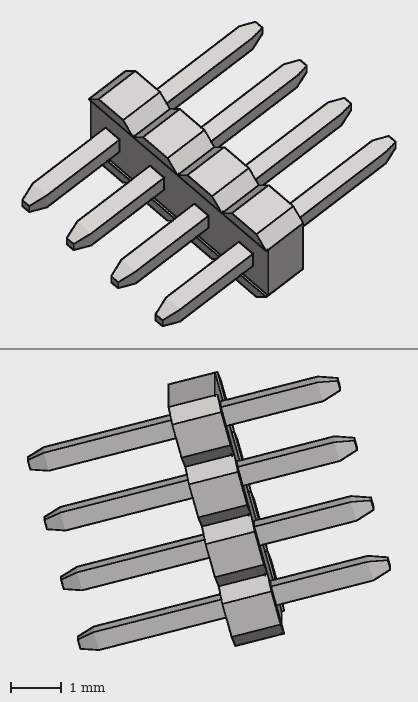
import cadquery as cq

pin_count = 4
housing_length = 5.08
housing_height = 2.1
housing_depth = 0.995
pitch = housing_length / pin_count

cell_bevel = 0.285
front_recess = 0.05

pin_length = 6.3
pin_front_reach = 2.3
pin_front_width = 0.405
pin_rear_width = 0.385
tip_width = 0.2
front_tip_length = 0.38
rear_tip_length = 0.35

recess_y = front_recess
front_tip_y = -pin_front_reach
front_shoulder_y = front_tip_y + front_tip_length
rear_tip_y = front_tip_y + pin_length
rear_shoulder_y = rear_tip_y - rear_tip_length

band_height = housing_height - 2 * cell_bevel
pin_xs = [(i - (pin_count - 1) / 2) * pitch for i in range(pin_count)]


def square_section(x, y, width):
    """Square of the given width, normal to Y, centred on a pin axis."""
    return cq.Workplane("XZ", origin=(x, y, 0)).rect(width, width)


def square_bar(x, start_y, end_y, width):
    """Straight square bar between two Y positions."""
    return square_section(x, start_y, width).extrude(start_y - end_y)


def square_taper(x, start_y, end_y, start_width, end_width):
    """Square frustum between two Y positions."""
    return (
        square_section(x, start_y, start_width)
        .workplane(offset=start_y - end_y)
        .rect(end_width, end_width)
        .loft(ruled=True)
    )


def make_pin(x):
    """Square pin with tapered tips; its front part is slightly wider than its rear part."""
    front_tip = square_taper(x, front_tip_y, front_shoulder_y, tip_width, pin_front_width)
    front_bar = square_bar(x, front_shoulder_y, recess_y, pin_front_width)
    rear_bar = square_bar(x, recess_y, rear_shoulder_y, pin_rear_width)
    rear_tip = square_taper(x, rear_shoulder_y, rear_tip_y, pin_rear_width, tip_width)
    return front_tip.union(front_bar).union(rear_bar).union(rear_tip)


def bevelled_rims():
    """Trapezoidal rims above and below the middle band, one pair for each cell."""
    base = pitch / 2
    crest = base - cell_bevel
    inner_z = band_height / 2
    outer_z = housing_height / 2
    rims = []
    for x in pin_xs:
        for side in (1, -1):
            outline = [
                (x - base, side * inner_z),
                (x - crest, side * outer_z),
                (x + crest, side * outer_z),
                (x + base, side * inner_z),
            ]
            rims.append(cq.Workplane("XZ").polyline(outline).close().extrude(-housing_depth))
    return rims


def make_housing(pins):
    """Middle band with bevelled rims, pierced by a fitted hole for each pin."""
    housing = (
        cq.Workplane("XZ", origin=(0, recess_y, 0))
        .rect(housing_length, band_height)
        .extrude(recess_y - housing_depth)
    )
    for rim in bevelled_rims():
        housing = housing.union(rim)
    for pin in pins:
        housing = housing.cut(pin)
    return housing


pins = [make_pin(x) for x in pin_xs]
housing = make_housing(pins)

result = cq.Compound.makeCompound([housing.solids().val(), *[pin.solids().val() for pin in pins]])